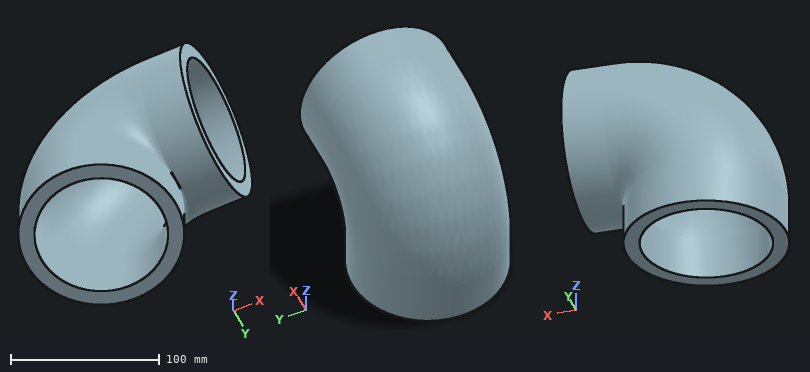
import cadquery as cq

overall_length = 142.0
outer_diameter = 112.0
bore_diameter = 90.0
bend_angle = 90

bend_radius = outer_diameter / 2
collar_length = overall_length - outer_diameter


def elbow_solid(diameter):
    """Round bar along the elbow's centreline, with the bend axis along Y through the origin."""
    radius = diameter / 2
    lower_end = cq.Workplane("XY").center(-bend_radius, 0).circle(radius)
    lower_collar = lower_end.extrude(-collar_length)
    bend = (
        cq.Workplane("XY")
        .center(-bend_radius, 0)
        .circle(radius)
        .revolve(bend_angle, (bend_radius, 0, 0), (bend_radius, 1, 0))
    )
    side_collar = (
        cq.Workplane("YZ")
        .center(0, bend_radius)
        .circle(radius)
        .extrude(collar_length)
    )
    return lower_collar.union(bend).union(side_collar)


result = elbow_solid(outer_diameter).cut(elbow_solid(bore_diameter))